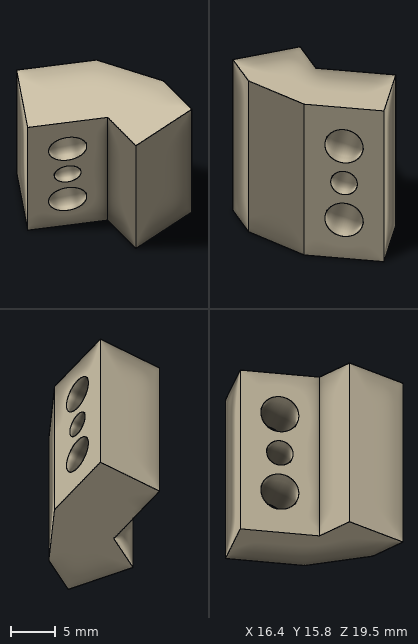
import cadquery as cq
import math

height = 19.5
thickness = 8.0
straight_leg_length = 5.0
angled_leg_length = 9.0
bend_angle = 60.0
outer_hole_diameter = 4.3
middle_hole_diameter = 3.0
hole_spacing = 4.75

bend = math.radians(bend_angle)
along_leg = cq.Vector(-math.cos(bend), -math.sin(bend), 0)
toward_outside = cq.Vector(-math.sin(bend), math.cos(bend), 0)


def make_body():
    """Bent bar standing on Z, with a flat cut across the outside of the bend."""
    inner_corner = cq.Vector(0, 0, 0)
    inner_end = along_leg * angled_leg_length
    outer_corner = toward_outside * thickness
    outer_end = inner_end + outer_corner
    outline = [
        inner_corner.toTuple()[:2],
        (straight_leg_length, 0),
        (straight_leg_length, thickness),
        (0, thickness),
        outer_corner.toTuple()[:2],
        outer_end.toTuple()[:2],
        inner_end.toTuple()[:2],
    ]
    return cq.Workplane("XY").polyline(outline).close().extrude(height / 2, both=True)


def cut_leg_hole(body, diameter, z):
    """Cut a round hole straight through the angled leg, midway along its length."""
    start = along_leg * (angled_leg_length / 2) + cq.Vector(0, 0, z)
    hole = cq.Solid.makeCylinder(diameter / 2, thickness, start, toward_outside)
    return body.cut(cq.Workplane(obj=hole))


result = make_body()
result = cut_leg_hole(result, middle_hole_diameter, 0)
for side in (-1, 1):
    result = cut_leg_hole(result, outer_hole_diameter, side * hole_spacing)